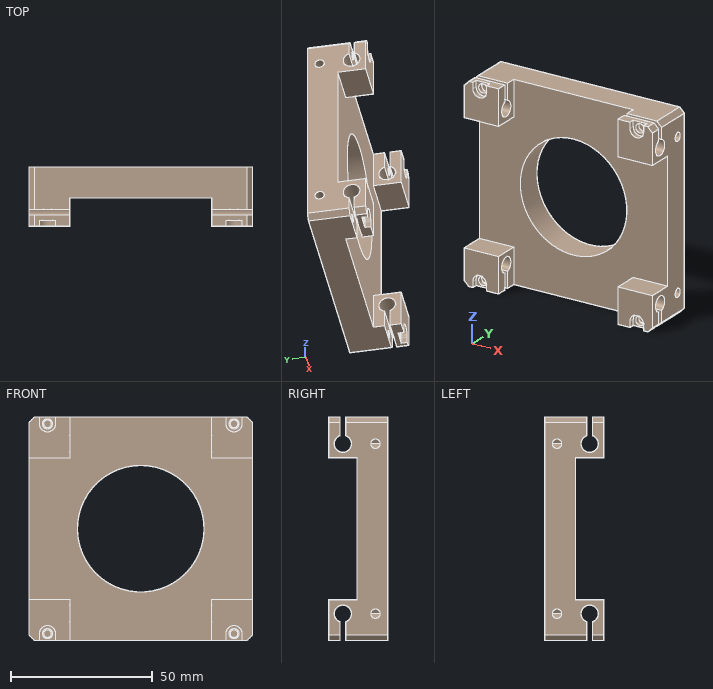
import cadquery as cq

side = 79.0
depth = 21.0
plate_thickness = 11.0
corner_chamfer = 2.0
bore_diameter = 44.6

block_size = 14.45
rod_diameter = 6.0
rod_inset = 9.5
rod_from_back = 15.95
slit_width = 1.9

screw_inset_x = 6.55
screw_inset_z = 2.45
pocket_width = 5.7
pocket_depth = 2.1
clearance_diameter = 3.55
thread_diameter = 2.7
thread_depth = 7.9

side_hole_diameter = 3.3
side_hole_from_back = 4.4
side_hole_depth = 10.0
wedge_length = 0.95

half = side / 2
overlap = 0.8
rod_z = half - rod_inset
screw_x = half - screw_inset_x
screw_z = half - screw_inset_z
slit_front = rod_from_back + slit_width / 2


def box(width, length, height, center):
    """Box given by its X, Y, Z sizes and its centre."""
    return cq.Workplane("XY").box(width, length, height).translate(center)


def cylinder_along_y(diameter, y_start, y_end, x, z):
    """Cylinder along Y between two Y positions."""
    start = cq.Vector(x, y_start, z)
    return cq.Workplane(cq.Solid.makeCylinder(diameter / 2, y_end - y_start, start, cq.Vector(0, 1, 0)))


def frame():
    """Square frame with chamfered corners, relieved between the corner blocks."""
    body = box(side, depth, side, (0, depth / 2, 0)).edges("|Y").chamfer(corner_chamfer)
    relief_depth = depth - plate_thickness
    relief_y = plate_thickness + relief_depth / 2
    gap = side - 2 * block_size
    body = body.cut(box(gap, relief_depth, side, (0, relief_y, 0)))
    body = body.cut(box(side, relief_depth, gap, (0, relief_y, 0)))
    return body.cut(cylinder_along_y(bore_diameter, 0, depth, 0, 0))


def rod_clamp(z_sign):
    """Rod hole along X with the slit that opens it to the outer Z face."""
    axis_start = cq.Vector(-half, rod_from_back, z_sign * rod_z)
    hole = cq.Workplane(cq.Solid.makeCylinder(rod_diameter / 2, side, axis_start, cq.Vector(1, 0, 0)))
    slit = box(side, slit_width, rod_inset, (0, rod_from_back, z_sign * (rod_z + rod_inset / 2)))
    return hole.union(slit)


def clamp_screw(x_sign, z_sign):
    """Open-sided head pocket, clearance hole through the ear and blind thread hole."""
    x = x_sign * screw_x
    z = z_sign * screw_z
    floor = depth - pocket_depth
    pocket = cylinder_along_y(pocket_width, floor, depth, x, z)
    mouth_height = screw_inset_z + overlap
    mouth_center = (x, depth - pocket_depth / 2, z + z_sign * mouth_height / 2)
    mouth = box(pocket_width, pocket_depth, mouth_height, mouth_center)
    clearance = cylinder_along_y(clearance_diameter, slit_front - overlap, depth, x, z)
    thread_start = rod_from_back - slit_width / 2
    thread = cylinder_along_y(thread_diameter, thread_start - thread_depth, thread_start + overlap, x, z)
    return pocket.union(mouth).union(clearance).union(thread)


def side_hole(x_sign, z_sign):
    """Blind hole into an X side, ending in a wedge whose edge runs along Y."""
    radius = side_hole_diameter / 2
    z = z_sign * rod_z
    wall_end = half - side_hole_depth
    tip = wall_end - wedge_length
    start = cq.Vector(x_sign * half, side_hole_from_back, z)
    barrel = cq.Solid.makeCylinder(radius, half - tip, start, cq.Vector(-x_sign, 0, 0))
    outline = [(half, z - radius), (wall_end, z - radius), (tip, z), (wall_end, z + radius), (half, z + radius)]
    envelope = (
        cq.Workplane("XZ")
        .polyline([(x_sign * x, height) for x, height in outline])
        .close()
        .extrude(-plate_thickness)
    )
    return envelope.intersect(cq.Workplane(barrel))


result = frame()
for z_sign in (-1, 1):
    result = result.cut(rod_clamp(z_sign))
    for x_sign in (-1, 1):
        result = result.cut(clamp_screw(x_sign, z_sign))
        result = result.cut(side_hole(x_sign, z_sign))

result = result.mirror("XZ").translate((0, depth / 2, 0))